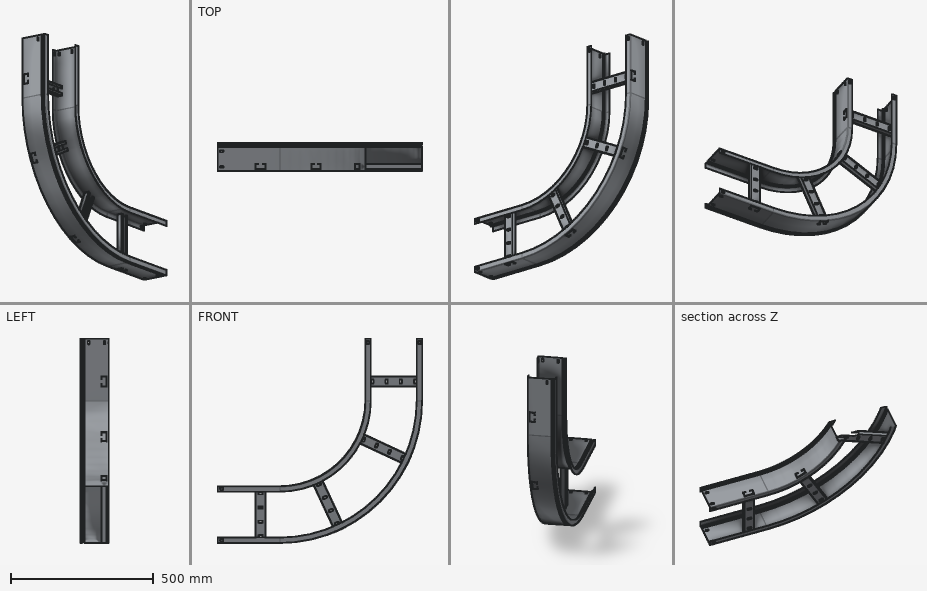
import cadquery as cq
import math


inner_radius = 300.0
ladder_width = 200.0
outer_radius = inner_radius + ladder_width
leg_length = 217.0

rail_height = 100.0
flange_width = 20.0
rail_sheet = 1.2
rail_bend = 2.5
bead_start = 85.0
bead_end = 95.0
bead_depth = 4.0

slot_length = 12.0
slot_width = 6.0
flange_slot_length = 12.0
flange_slot_width = 9.0
slot_from_end = 14.0
front_web_slot = 15.0
back_web_slot = 70.0
both_web_slots = (front_web_slot, back_web_slot)

rung_width = 36.0
rung_depth = 19.0
rung_front = 7.5
rung_sheet = 1.5
rung_lip = 10.0
rung_overrun = 3.0
rung_from_end = 150.0
bend_rung_angle = 25.0
rung_hole_length = 15.0
rung_hole_width = 7.0
rung_hole_pitch = 50.0
first_rung_hole = inner_radius + 25.0
rung_hole_count = 4

diagonal = math.sqrt(0.5)
DIAGONAL_NORMAL = (1, 0, 1)


def rail_section(web_radius, inward):
    """Rail section in XY; inward is +1 or -1, the way the flanges point along X."""

    def at(depth, height):
        return web_radius + inward * depth, height

    inside_bend = rail_bend - rail_sheet
    skin_mid = rail_bend - rail_bend * diagonal
    inside_mid = rail_bend - inside_bend * diagonal
    miter = rail_sheet * math.tan(math.radians(45.0 / 2))
    top = rail_height
    return (
        cq.Workplane("XY")
        .moveTo(*at(flange_width, 0))
        .lineTo(*at(rail_bend, 0))
        .threePointArc(at(skin_mid, skin_mid), at(0, rail_bend))
        .lineTo(*at(0, bead_start))
        .lineTo(*at(bead_depth, bead_start + bead_depth))
        .lineTo(*at(bead_depth, bead_end - bead_depth))
        .lineTo(*at(0, bead_end))
        .lineTo(*at(0, top - rail_bend))
        .threePointArc(at(skin_mid, top - skin_mid), at(rail_bend, top))
        .lineTo(*at(flange_width, top))
        .lineTo(*at(flange_width, top - rail_sheet))
        .lineTo(*at(rail_bend, top - rail_sheet))
        .threePointArc(at(inside_mid, top - inside_mid), at(rail_sheet, top - rail_bend))
        .lineTo(*at(rail_sheet, bead_end + miter))
        .lineTo(*at(bead_depth + rail_sheet, bead_end - bead_depth + miter))
        .lineTo(*at(bead_depth + rail_sheet, bead_start + bead_depth - miter))
        .lineTo(*at(rail_sheet, bead_start - miter))
        .lineTo(*at(rail_sheet, rail_bend))
        .threePointArc(at(inside_mid, inside_mid), at(rail_bend, rail_sheet))
        .lineTo(*at(flange_width, rail_sheet))
        .close()
    )


def upright_leg(web_radius, inward, web_slot_heights):
    """Straight leg rising from the bend, slotted in its front flange and at the given web heights."""
    leg = rail_section(web_radius, inward).extrude(leg_length)
    slot_z = leg_length - slot_from_end
    web_slots = (
        cq.Workplane("YZ", origin=(web_radius, 0, 0))
        .pushPoints([(height, slot_z) for height in web_slot_heights])
        .slot2D(slot_length, slot_width, 90)
        .extrude(rail_sheet, both=True)
    )
    flange_slot = (
        cq.Workplane("XZ")
        .center(web_radius + inward * flange_width / 2, slot_z)
        .slot2D(flange_slot_length, flange_slot_width, 90)
        .extrude(rail_sheet, both=True)
    )
    return leg.cut(web_slots).cut(flange_slot)


def side_rail(web_radius, inward, upright_slots):
    """Upright leg, quarter bend and horizontal leg as one sheet."""
    upright = upright_leg(web_radius, inward, upright_slots)
    horizontal = upright_leg(web_radius, inward, both_web_slots).mirror(DIAGONAL_NORMAL)
    bend = rail_section(web_radius, inward).revolve(90, (0, 0), (0, 1))
    return bend.union(upright, clean=False).union(horizontal, clean=False)


def rung_blank():
    """Lipped C channel along X, open at the back, with a row of slots in its front face."""
    start = inner_radius - rung_overrun
    length = ladder_width + 2 * rung_overrun
    middle = rung_front + rung_depth / 2
    outside = (
        cq.Workplane("YZ", origin=(start, middle, 0))
        .rect(rung_depth, rung_width)
        .extrude(length)
    )
    hollow = (
        cq.Workplane("YZ", origin=(start, middle, 0))
        .rect(rung_depth - 2 * rung_sheet, rung_width - 2 * rung_sheet)
        .extrude(length)
    )
    mouth = (
        cq.Workplane("YZ", origin=(start, rung_front + rung_depth, 0))
        .rect(rung_depth, rung_width - 2 * rung_lip)
        .extrude(length)
    )
    holes = (
        cq.Workplane("XZ", origin=(0, rung_front, 0))
        .pushPoints([(first_rung_hole + i * rung_hole_pitch, 0) for i in range(rung_hole_count)])
        .slot2D(rung_hole_length, rung_hole_width, 90)
        .extrude(2 * rung_sheet, both=True)
    )
    return outside.cut(hollow).cut(mouth).cut(holes)


def bend_rungs():
    """Rungs on radii of the bend, their ends flush with the curved webs."""
    ring = (
        cq.Workplane("XZ")
        .circle(outer_radius)
        .circle(inner_radius)
        .extrude(-rail_height)
    )
    blank = rung_blank().intersect(ring)
    angles = (bend_rung_angle, 90 - bend_rung_angle)
    return [blank.rotate((0, 0, 0), (0, 1, 0), angle) for angle in angles]


def leg_rungs():
    """Rungs across the two straight legs, cut square and flush with the flat webs."""
    span = (
        cq.Workplane("YZ", origin=(inner_radius, rail_height / 2, 0))
        .rect(rail_height, rung_width)
        .extrude(ladder_width)
    )
    rung = rung_blank().intersect(span).translate((0, 0, leg_length - rung_from_end))
    return [rung, rung.mirror(DIAGONAL_NORMAL)]


rungs = bend_rungs() + leg_rungs()
inner_rail = side_rail(inner_radius, 1, both_web_slots)
outer_rail = side_rail(outer_radius, -1, (back_web_slot,))

for rung in rungs:
    inner_rail = inner_rail.cut(rung, clean=False)
    outer_rail = outer_rail.cut(rung, clean=False)

result = cq.Compound.makeCompound([
    inner_rail.solids().val(),
    outer_rail.solids().val(),
    *[rung.solids().val() for rung in rungs],
])